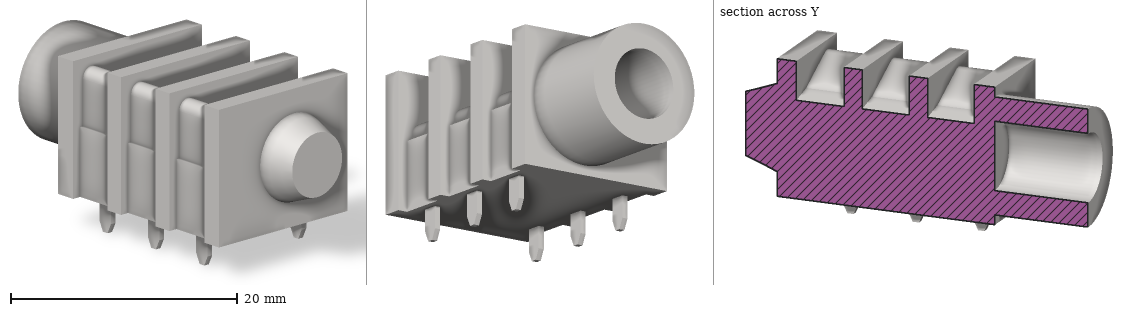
import cadquery as cq
import math

overall_length = 33.0

barrel_length = 9.0
barrel_diameter = 11.0
bore_diameter = 6.4

flange_right = 6.45
flange_left = -9.05
flange_top = 6.4
base_z = -6.4
front_flange_thickness = 2.0
middle_flange_thickness = 1.8
rear_flange_thickness = 1.9
middle_flange_start = 15.45
bay_pitch = 6.3
rear_flange_end = 30.0
rear_flange_start = rear_flange_end - rear_flange_thickness

lower_left = -8.2
lower_right = 5.5
ledge_z = 0.1

upper_left = -7.85
upper_right = 4.9
upper_top = 5.5
shoulder_radius = 1.0
steep_angle = math.radians(26.5)
shallow_angle = math.radians(13.0)
slope_break_y = -2.15

boss_base_diameter = 8.2
boss_tip_diameter = 6.0

pin_count = 3
pin_width = 1.5
pin_thickness = 0.55
pin_tip_width = 0.6
pin_length = 3.0
pin_taper_length = 0.95
first_pin_x = 13.2
pin_row_centers = (-6.95, 4.37)


def block(x_start, x_end, y_start, y_end, z_start, z_end):
    """Box given by its limits along each axis."""
    size = (x_end - x_start, y_end - y_start, z_end - z_start)
    return cq.Workplane("XY").box(*size, centered=False).translate((x_start, y_start, z_start))


def flange(x_start, thickness):
    return block(x_start, x_start + thickness, flange_left, flange_right, base_z, flange_top)


def on_shoulder(center, angle):
    """Point of a shoulder arc whose outward normal is tilted from +Z toward +Y by angle."""
    y, z = center
    return (y + shoulder_radius * math.sin(angle), z + shoulder_radius * math.cos(angle))


def upper_body():
    """Upper body prism, with the shoulders tangent to the sides and slopes."""
    left_center = (upper_left + shoulder_radius, upper_top - shoulder_radius)
    left_side_end = on_shoulder(left_center, -math.pi / 2)
    left_middle = on_shoulder(left_center, (steep_angle - math.pi / 2) / 2)
    steep_start = on_shoulder(left_center, steep_angle)

    slope_break_z = steep_start[1] - (slope_break_y - steep_start[0]) * math.tan(steep_angle)

    right_center_y = upper_right - shoulder_radius
    shallow_end_y = right_center_y + shoulder_radius * math.sin(shallow_angle)
    shallow_end_z = slope_break_z - (shallow_end_y - slope_break_y) * math.tan(shallow_angle)
    right_center = (right_center_y, shallow_end_z - shoulder_radius * math.cos(shallow_angle))
    right_middle = on_shoulder(right_center, (shallow_angle + math.pi / 2) / 2)
    right_side_end = on_shoulder(right_center, math.pi / 2)

    return (
        cq.Workplane("YZ", origin=(barrel_length, 0, 0))
        .moveTo(upper_left, base_z)
        .lineTo(*left_side_end)
        .threePointArc(left_middle, steep_start)
        .lineTo(slope_break_y, slope_break_z)
        .lineTo(shallow_end_y, shallow_end_z)
        .threePointArc(right_middle, right_side_end)
        .lineTo(upper_right, base_z)
        .close()
        .extrude(rear_flange_end - barrel_length)
    )


def lower_body():
    return block(barrel_length, rear_flange_end, lower_left, lower_right, base_z, ledge_z)


def barrel():
    return (
        cq.Workplane("YZ")
        .circle(barrel_diameter / 2)
        .circle(bore_diameter / 2)
        .extrude(barrel_length)
    )


def rear_boss():
    return (
        cq.Workplane("YZ", origin=(rear_flange_end, 0, 0))
        .circle(boss_base_diameter / 2)
        .workplane(offset=overall_length - rear_flange_end)
        .circle(boss_tip_diameter / 2)
        .loft()
    )


def pin(x_center, y_center):
    """Flat pin hanging from the base, narrowed at its tip."""
    tip_z = base_z - pin_length
    taper_z = tip_z + pin_taper_length
    outline = [
        (-pin_width / 2, base_z),
        (pin_width / 2, base_z),
        (pin_width / 2, taper_z),
        (pin_tip_width / 2, tip_z),
        (-pin_tip_width / 2, tip_z),
        (-pin_width / 2, taper_z),
    ]
    return (
        cq.Workplane("XZ", origin=(x_center, y_center, 0))
        .polyline(outline)
        .close()
        .extrude(pin_thickness / 2, both=True)
    )


result = lower_body().union(upper_body())
result = result.union(flange(barrel_length, front_flange_thickness))
result = result.union(flange(middle_flange_start, middle_flange_thickness))
result = result.union(flange(middle_flange_start + bay_pitch, middle_flange_thickness))
result = result.union(flange(rear_flange_start, rear_flange_thickness))
result = result.union(barrel()).union(rear_boss())
for row_y in pin_row_centers:
    for index in range(pin_count):
        result = result.union(pin(first_pin_x + index * bay_pitch, row_y))